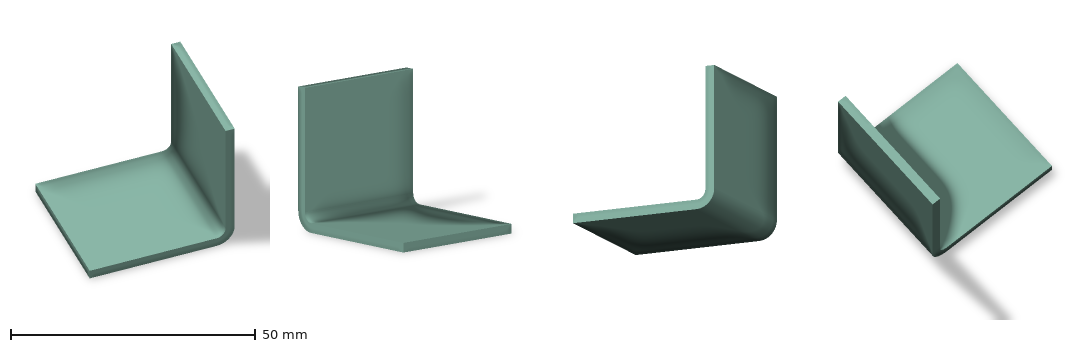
import cadquery as cq

width = 30.0
base_length = 32.0
wall_height = 30.0
thickness = 2.0
inner_radius = 2.0
outer_radius = inner_radius + thickness


def bracket_blank():
    """Sharp-cornered L section in the YZ plane, with the wall at the +Y end."""
    wall_face = base_length - thickness
    return (
        cq.Workplane("YZ")
        .moveTo(0, 0)
        .lineTo(base_length, 0)
        .lineTo(base_length, wall_height)
        .lineTo(wall_face, wall_height)
        .lineTo(wall_face, thickness)
        .lineTo(0, thickness)
        .close()
        .extrude(width)
    )


def round_bend(blank):
    """Round the bend on both sides so that the sheet keeps its thickness."""
    outer_edge = cq.selectors.NearestToPointSelector((width / 2, base_length, 0))
    inner_edge = cq.selectors.NearestToPointSelector(
        (width / 2, base_length - thickness, thickness)
    )
    bend = blank.edges(outer_edge).fillet(outer_radius)
    return bend.edges(inner_edge).fillet(inner_radius)


result = round_bend(bracket_blank())